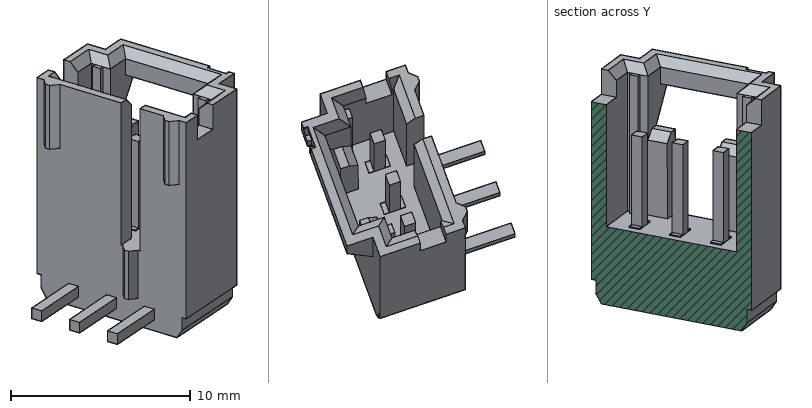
import cadquery as cq


width = 10.03
depth = 5.04
height = 13.59
step_height = 1.36
base_width = 9.49
base_chamfer_width = 0.35
base_chamfer_height = 0.57

wall = 1.03
side_wall = 0.95
floor_height = 4.73
lead_in = 0.52
cavity_width = width - 2 * side_wall
cavity_depth = depth - 2 * wall

tab_width = 7.64
tab_depth = 1.54
tab_lip_height = 1.52
tab_root = 9.76
tab_back = depth + tab_depth
tab_opening = tab_width - 2 * wall

window_top_width = 3.18
window_bottom_width = 3.1

slot_width = 1.26
slot_x = 1.28
notch_y = 1.9
notch_width = 1.52
notch_depth = 1.52

recess_depth = 0.26
recess_left = 2.17
recess_width = 1.28
recess_height = 0.61
recess_left_drop = 0.16
recess_ramp_width = 0.3
recess_ramp_rise = 0.42
recess_stem_left = 2.46
recess_stem_width = 0.35

rib_tip = 0.27
rib_projection = 0.42
upper_rib_x = 4.01
upper_rib_width = 1.07
upper_rib_length = 3.98
lower_rib_width = 1.02
lower_rib_bottom = 1.73
guide_width = 0.55
guide_projection = 0.26
guide_x = (tab_width - guide_width) / 2

pin_pitch = 2.54
pin_size = 0.67
pin_reach = 3.7
shank_depth = 1.26
shank_rise = 0.07
shank_top = floor_height + shank_rise
blade_y = 2.51
blade_top = 10.19


def block(x_min, x_max, y_min, y_max, z_min, z_max):
    size = (x_max - x_min, y_max - y_min, z_max - z_min)
    return cq.Workplane("XY").box(*size, centered=False).translate((x_min, y_min, z_min))


def centred_block(x, x_size, y_min, y_max, z_min, z_max):
    return block(x - x_size / 2, x + x_size / 2, y_min, y_max, z_min, z_max)


def extrude_along_x(points, length):
    """Extrude a (Y, Z) outline, centred on the middle of the width."""
    return cq.Workplane("YZ").polyline(points).close().extrude(length / 2, both=True)


def flare(x_size, y_min, y_max):
    """45 degree widening of a rectangular opening up to the top face."""
    y_size = y_max - y_min
    return (
        cq.Workplane("XY", origin=(0, (y_min + y_max) / 2, height - lead_in))
        .rect(x_size, y_size)
        .workplane(offset=lead_in)
        .rect(x_size + 2 * lead_in, y_size + 2 * lead_in)
        .loft(ruled=True)
    )


def body():
    half = width / 2
    foot = base_width / 2
    sole = foot - base_chamfer_width
    right_side = [
        (sole, 0),
        (foot, base_chamfer_height),
        (foot, step_height),
        (half, step_height),
        (half, height),
    ]
    left_side = [(-x, z) for x, z in reversed(right_side)]
    return cq.Workplane("XZ").polyline(right_side + left_side).close().extrude(-depth)


def tab():
    profile = [
        (depth, tab_root),
        (tab_back, height - tab_lip_height),
        (tab_back, height),
        (depth, height),
    ]
    return extrude_along_x(profile, tab_width)


def cavity():
    rear = wall + cavity_depth
    tab_rear = tab_back - wall
    main = centred_block(0, cavity_width, wall, rear, floor_height, height)
    tab_throat = centred_block(0, tab_opening, wall, tab_rear, tab_root, height)
    below_lip = centred_block(0, tab_opening, wall, tab_back, tab_root, height - tab_lip_height)
    ledge_bevel = extrude_along_x(
        [(rear, tab_root - lead_in), (rear + lead_in, tab_root), (rear, tab_root)], tab_opening
    )
    mouth = flare(cavity_width, wall, rear).union(flare(tab_opening, wall, tab_rear))
    return main.union(tab_throat).union(below_lip).union(ledge_bevel).union(mouth)


def window():
    bottom = window_bottom_width / 2
    top = window_top_width / 2
    outline = [(-bottom, floor_height), (bottom, floor_height), (top, tab_root), (-top, tab_root)]
    return cq.Workplane("XZ", origin=(0, depth, 0)).polyline(outline).close().extrude(wall)


def front_slot():
    return centred_block(slot_x, slot_width, 0, wall, floor_height, height)


def side_notches():
    return centred_block(
        0, width, notch_y - notch_width / 2, notch_y + notch_width / 2, height - notch_depth, height
    )


def tab_recess():
    """Shallow recess with a sloped floor, and a stem running down through the lip."""
    right = recess_left + recess_width
    floor = height - recess_height
    stem_right = recess_stem_left + recess_stem_width
    outline = [
        (recess_left, height),
        (recess_left, floor - recess_left_drop),
        (recess_stem_left, floor),
        (recess_stem_left, height - tab_lip_height),
        (stem_right, height - tab_lip_height),
        (stem_right, floor),
        (right - recess_ramp_width, floor),
        (right, floor + recess_ramp_rise),
        (right, height),
    ]
    return cq.Workplane("XZ", origin=(0, tab_back, 0)).polyline(outline).close().extrude(recess_depth)


def front_rib(x, root_width, z_min, z_max):
    """Vertical rib of trapezoidal section on the front face."""
    root = root_width / 2
    tip = rib_tip / 2
    section = [(x - root, 0), (x - tip, -rib_projection), (x + tip, -rib_projection), (x + root, 0)]
    return cq.Workplane("XY", origin=(0, 0, z_min)).polyline(section).close().extrude(z_max - z_min)


def guide_rib(x):
    """Guide rib on the inside of the rear wall."""
    rear = wall + cavity_depth
    return centred_block(x, guide_width, rear - guide_projection, rear, floor_height, height - lead_in)


def pin(x):
    """Right-angle contact: a leg out of the front face and a stepped blade in the cavity."""
    leg_bottom = step_height - pin_size
    leg = centred_block(x, pin_size, -pin_reach, blade_y, leg_bottom, step_height)
    shank = centred_block(
        x, pin_size, blade_y - shank_depth / 2, blade_y + shank_depth / 2, leg_bottom, shank_top
    )
    blade = centred_block(
        x, pin_size, blade_y - pin_size / 2, blade_y + pin_size / 2, shank_top, blade_top
    )
    return leg.union(shank).union(blade)


result = body().union(tab())
for opening in (cavity(), window(), front_slot(), side_notches(), tab_recess()):
    result = result.cut(opening)

for side in (-1, 1):
    result = result.union(front_rib(side * upper_rib_x, upper_rib_width, height - upper_rib_length, height))
    result = result.union(guide_rib(side * guide_x))
result = result.union(front_rib(slot_x, lower_rib_width, lower_rib_bottom, floor_height))

for position in (-1, 0, 1):
    result = result.union(pin(position * pin_pitch))